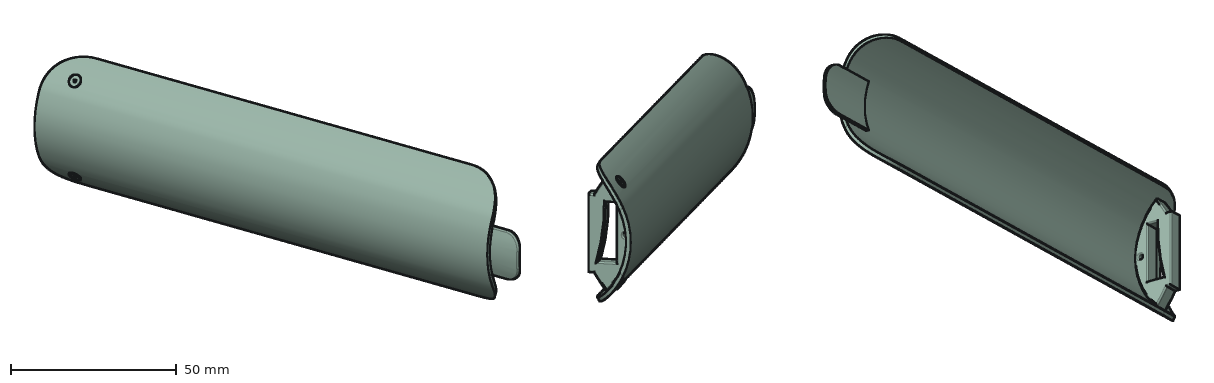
import cadquery as cq
import math


SIDES = (-1, 1)

COVER_LENGTH = 164.2
COVER_RADIUS = 25.0
WALL = 1.5
HALF_ANGLE = 60
CORNER_RADIUS = 14.0
INNER_RADIUS = COVER_RADIUS - WALL

TOTAL_LENGTH = 174.4
TONGUE_WIDTH = 16.0
TONGUE_CORNER_RADIUS = 5.0
TONGUE_OUT = TOTAL_LENGTH - COVER_LENGTH
TONGUE_OVERLAP = TONGUE_OUT
TONGUE_THICKNESS = 1.0
TONGUE_INNER_RADIUS = INNER_RADIUS - TONGUE_THICKNESS

EDGE_RADIUS = 0.5

BRACKET_START = 8.5
BRACKET_THICKNESS = 4.9
BRACKET_MIDDLE = BRACKET_START + BRACKET_THICKNESS / 2
TOTAL_DEPTH = 15.2
BACK_Y = TOTAL_DEPTH - COVER_RADIUS
BACK_HALF_HEIGHT = 12.2
BACK_EDGE_DEPTH = 1.7
SCALLOP_MIDDLE_DEPTH = 3.3
SCALLOP_MIDDLE_Z = 14.6
SHOULDER_Z = 17.8
SHOULDER_Y = -math.sqrt(INNER_RADIUS**2 - SHOULDER_Z**2)

WINDOW_TOP = 10.0
WINDOW_BOTTOM = -8.7
WINDOW_FRONT_Y = 6.5 - COVER_RADIUS
WINDOW_TOP_BACK_Y = 9.8 - COVER_RADIUS
WINDOW_MIDDLE_BACK_Y = 10.3 - COVER_RADIUS
WINDOW_BOTTOM_BACK_Y = 12.2 - COVER_RADIUS
WINDOW_MIDDLE_Z = (WINDOW_TOP + WINDOW_BOTTOM) / 2

WIRE_HOLE_DIAMETER = 1.5
WIRE_HOLE_Y = 3.7 - COVER_RADIUS

SCREW_ANGLE = 39.5
HEAD_DIAMETER = 4.0
HEAD_RISE = 0.26
HEAD_SEAT_DEPTH = 0.5
SHANK_DIAMETER = 2.0
SCREW_LENGTH = 5.0
SOCKET_DIAMETER = 0.9
SOCKET_DEPTH = 0.7


def tube(start, length, outer_radius, inner_radius):
    """Tube around the X axis."""
    profile = cq.Workplane("YZ", origin=(start, 0, 0)).circle(outer_radius).circle(inner_radius)
    return profile.extrude(length)


def surface_plane(x, angle):
    """Plane tangent to the cover at an angle from its crown, its normal pointing outward."""
    turn = math.radians(angle)
    outward = cq.Vector(0, -math.cos(turn), math.sin(turn))
    return cq.Plane(origin=outward * COVER_RADIUS + cq.Vector(x, 0, 0), xDir=(1, 0, 0), normal=outward)


def side_block(side):
    """Block that ends in the radial plane of one long edge, with its two corners there rounded."""
    breadth = 2 * COVER_RADIUS
    block = cq.Workplane("XY").box(COVER_LENGTH, breadth, 2 * breadth)
    block = block.translate((0, -breadth / 2, 0)).edges("|Z and >Y").fillet(CORNER_RADIUS)
    if side < 0:
        block = block.mirror("XZ")
    edge_plane = surface_plane(COVER_LENGTH / 2, side * HALF_ANGLE)
    return cq.Workplane(block.val().moved(edge_plane.location))


def trough():
    """Bent sheet of the cover with its four corners rounded."""
    sheet = tube(0, COVER_LENGTH, COVER_RADIUS, INNER_RADIUS)
    for side in SIDES:
        sheet = sheet.intersect(side_block(side))
    return sheet


def tongue():
    """Curved tongue with rounded free corners and a rounded outer rim."""
    start = COVER_LENGTH - TONGUE_OVERLAP
    length = TONGUE_OVERLAP + TONGUE_OUT
    outline = (
        cq.Workplane("XZ")
        .rect(length, TONGUE_WIDTH)
        .extrude(COVER_RADIUS)
        .edges("|Y and >X")
        .fillet(TONGUE_CORNER_RADIUS)
        .translate((start + length / 2, 0, 0))
    )
    plate = tube(start, length, INNER_RADIUS, TONGUE_INNER_RADIUS).intersect(outline)
    return plate.faces("<Y").edges("not(<X)").fillet(EDGE_RADIUS)


def screw_plane(side):
    return surface_plane(BRACKET_MIDDLE, side * SCREW_ANGLE)


def screw_blank(side):
    """Screw without its socket; also the shape of its seat and hole."""
    surface = screw_plane(side)
    head = (
        cq.Workplane(surface)
        .workplane(offset=-HEAD_SEAT_DEPTH)
        .circle(HEAD_DIAMETER / 2)
        .extrude(HEAD_SEAT_DEPTH + HEAD_RISE)
    )
    shank = cq.Workplane(surface).circle(SHANK_DIAMETER / 2).extrude(-SCREW_LENGTH)
    return head.union(shank)


def build_screw(side):
    head_top = cq.Workplane(screw_plane(side)).workplane(offset=HEAD_RISE)
    socket = head_top.circle(SOCKET_DIAMETER / 2).extrude(-SOCKET_DEPTH)
    return screw_blank(side).cut(socket)


def build_cover():
    cover = trough().union(tongue())
    for side in SIDES:
        cover = cover.cut(screw_blank(side))
    return cover


def bracket_blank():
    """Plate that fills the cover, with scalloped flanks and a flat back."""
    back_edge_y = BACK_Y - BACK_EDGE_DEPTH
    scallop_y = BACK_Y - SCALLOP_MIDDLE_DEPTH
    return (
        cq.Workplane("YZ", origin=(BRACKET_START, 0, 0))
        .moveTo(BACK_Y, -BACK_HALF_HEIGHT)
        .lineTo(BACK_Y, BACK_HALF_HEIGHT)
        .lineTo(back_edge_y, BACK_HALF_HEIGHT)
        .threePointArc((scallop_y, SCALLOP_MIDDLE_Z), (SHOULDER_Y, SHOULDER_Z))
        .threePointArc((-INNER_RADIUS, 0), (SHOULDER_Y, -SHOULDER_Z))
        .threePointArc((scallop_y, -SCALLOP_MIDDLE_Z), (back_edge_y, -BACK_HALF_HEIGHT))
        .close()
        .extrude(BRACKET_THICKNESS)
    )


def window():
    """Window with one curved side."""
    return (
        cq.Workplane("YZ", origin=(BRACKET_START, 0, 0))
        .moveTo(WINDOW_FRONT_Y, WINDOW_BOTTOM)
        .lineTo(WINDOW_FRONT_Y, WINDOW_TOP)
        .lineTo(WINDOW_TOP_BACK_Y, WINDOW_TOP)
        .threePointArc((WINDOW_MIDDLE_BACK_Y, WINDOW_MIDDLE_Z), (WINDOW_BOTTOM_BACK_Y, WINDOW_BOTTOM))
        .close()
        .extrude(BRACKET_THICKNESS)
    )


def build_bracket():
    wire_hole = (
        cq.Workplane("YZ", origin=(BRACKET_START, WIRE_HOLE_Y, 0))
        .circle(WIRE_HOLE_DIAMETER / 2)
        .extrude(BRACKET_THICKNESS)
    )
    bracket = bracket_blank().cut(window()).cut(wire_hole)
    bracket = bracket.faces("<X or >X").edges().fillet(EDGE_RADIUS)
    for side in SIDES:
        bracket = bracket.cut(screw_blank(side))
    return bracket


cover = build_cover()
bracket = build_bracket()
screws = [build_screw(side) for side in SIDES]

bodies = [cover, bracket, *screws]
result = cq.Compound.makeCompound([body.solids().val() for body in bodies])